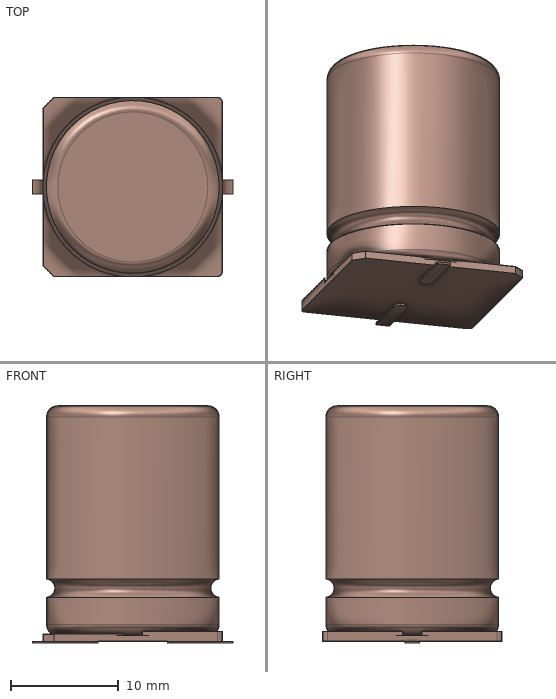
import cadquery as cq
import math

total_height = 22.0

terminal_span = 18.6
terminal_width = 1.3
terminal_thickness = 0.17
terminal_gap = 6.4
terminal_corner_chamfer = 0.5

base_side = 16.6
low_corner_top = 0.85
high_corner_top = 1.1
corner_chamfer = 1.0
corner_radius = 0.45

seat_diameter = 16.7
seat_floor = 0.7

can_radius = 16.0 / 2
can_edge_radius = 1.05
groove_center_height = 5.1
groove_half_height = 0.85
groove_depth = 0.77


def make_base():
    """Square plate whose -X half is lower than its +X half, with the round seat cut in."""
    plate = (
        cq.Workplane("XY", origin=(0, 0, terminal_thickness))
        .rect(base_side, base_side)
        .extrude(high_corner_top - terminal_thickness)
        .edges("|Z and <X").chamfer(corner_chamfer)
        .edges("|Z and >X").fillet(corner_radius)
    )
    low_half = (
        cq.Workplane("XY", origin=(-base_side / 2, 0, low_corner_top))
        .rect(base_side, base_side)
        .extrude(high_corner_top - low_corner_top)
    )
    seat = (
        cq.Workplane("XY", origin=(0, 0, seat_floor))
        .circle(seat_diameter / 2)
        .extrude(high_corner_top - seat_floor)
    )
    return plate.cut(low_half).cut(seat)


def make_can():
    """Can with rounded rims and a rolled groove, revolved about Z."""
    foot_radius = can_radius - can_edge_radius
    blend = can_edge_radius * math.sin(math.radians(45))
    rim_bottom = seat_floor + can_edge_radius
    rim_top = total_height - can_edge_radius
    profile = (
        cq.Workplane("XZ")
        .moveTo(0, seat_floor)
        .lineTo(foot_radius, seat_floor)
        .threePointArc((foot_radius + blend, rim_bottom - blend), (can_radius, rim_bottom))
        .lineTo(can_radius, groove_center_height - groove_half_height)
        .threePointArc(
            (can_radius - groove_depth, groove_center_height),
            (can_radius, groove_center_height + groove_half_height),
        )
        .lineTo(can_radius, rim_top)
        .threePointArc((foot_radius + blend, rim_top + blend), (foot_radius, total_height))
        .lineTo(0, total_height)
        .close()
    )
    return profile.revolve(360, (0, 0, 0), (0, 1, 0))


def make_terminal(side):
    """Flat strip with a chamfered inner end; side is -1 for -X and +1 for +X."""
    length = (terminal_span - terminal_gap) / 2
    center_x = side * (terminal_span + terminal_gap) / 4
    inner_corners = "|Z and <X" if side > 0 else "|Z and >X"
    return (
        cq.Workplane("XY", origin=(center_x, 0, 0))
        .rect(length, terminal_width)
        .extrude(terminal_thickness)
        .edges(inner_corners).chamfer(terminal_corner_chamfer)
    )


result = make_base().union(make_can())
for terminal_side in (-1, 1):
    result = result.union(make_terminal(terminal_side))